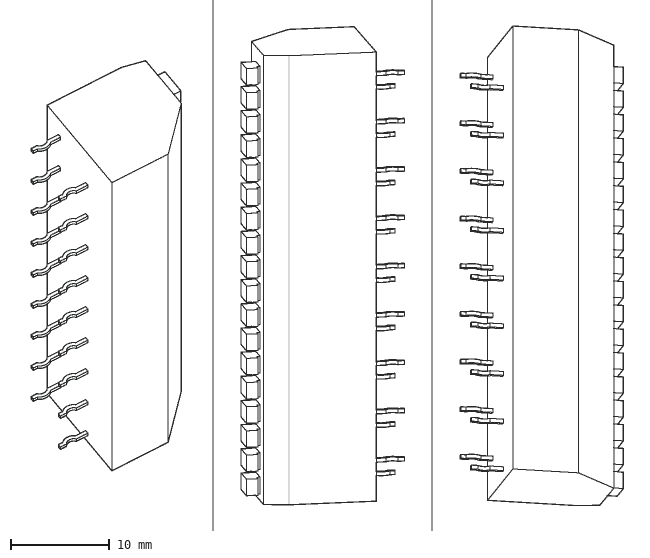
import cadquery as cq
import math

HEIGHT = 46.5
WIDTH = 12.0
DEPTH = 11.5
PIN_LENGTH = 3.3
FRONT_Y = PIN_LENGTH
BACK_Y = FRONT_Y + DEPTH
SLANT_X = 0.6
SLANT_Y = 2.5
BEVEL_X = 4.8
BEVEL_Y = 4.7

POLES = 18
END_WALL = 1.5
PITCH = (HEIGHT - END_WALL) / POLES

LEVER_LEFT = 1.8
LEVER_WIDTH = 2.98
LEVER_RISE = 1.55
LEVER_HEIGHT = 1.7
LEVER_LIFT = 0.33
HOOK_OVERHANG = 0.65
HOOK_GAP = 0.33

PIN_THICKNESS = 0.4
LEFT_PIN_X = 2.32
PIN_COLUMN_SPACING = 5.0
RIGHT_PIN_X = LEFT_PIN_X + PIN_COLUMN_SPACING
BEND_DISTANCE = 2.0
BEND_RISE = 0.3
BEND_HALF_CHORD = 0.6


def make_housing():
    outline = [
        (0, FRONT_Y),
        (WIDTH, FRONT_Y),
        (WIDTH, BACK_Y - BEVEL_Y),
        (WIDTH - BEVEL_X, BACK_Y),
        (SLANT_X, BACK_Y),
        (0, BACK_Y - SLANT_Y),
    ]
    return cq.Workplane("XY").polyline(outline).close().extrude(HEIGHT)


def make_lever(center_z):
    right = LEVER_LEFT + LEVER_WIDTH
    neck_left = LEVER_LEFT + HOOK_OVERHANG
    outline = [
        (neck_left, BACK_Y),
        (right, BACK_Y),
        (right, BACK_Y + LEVER_RISE),
        (LEVER_LEFT, BACK_Y + LEVER_RISE),
        (LEVER_LEFT, BACK_Y + HOOK_GAP),
        (neck_left, BACK_Y + HOOK_GAP),
    ]
    base = cq.Workplane("XY").workplane(offset=center_z - LEVER_HEIGHT / 2)
    return base.polyline(outline).close().extrude(LEVER_HEIGHT)


def make_pin(center_x, center_z, side):
    """Pin whose bend arches toward +X (side = 1) or -X (side = -1)."""
    hollow_x = center_x - side * PIN_THICKNESS / 2
    bulge_x = center_x + side * PIN_THICKNESS / 2
    rise = side * BEND_RISE
    bend_y = FRONT_Y - BEND_DISTANCE

    inner_radius = (BEND_HALF_CHORD**2 + BEND_RISE**2) / (2 * BEND_RISE)
    outer_radius = inner_radius + PIN_THICKNESS
    outer_half_chord = math.sqrt(outer_radius**2 - (outer_radius - BEND_RISE) ** 2)

    return (
        cq.Workplane("XY")
        .workplane(offset=center_z - PIN_THICKNESS / 2)
        .moveTo(hollow_x, FRONT_Y)
        .lineTo(hollow_x, bend_y + BEND_HALF_CHORD)
        .threePointArc((hollow_x + rise, bend_y), (hollow_x, bend_y - BEND_HALF_CHORD))
        .lineTo(hollow_x, 0)
        .lineTo(bulge_x, 0)
        .lineTo(bulge_x, bend_y - outer_half_chord)
        .threePointArc((bulge_x + rise, bend_y), (bulge_x, bend_y + outer_half_chord))
        .lineTo(bulge_x, FRONT_Y)
        .close()
        .extrude(PIN_THICKNESS)
    )


result = make_housing()
for pole in range(POLES):
    pole_z = (pole + 0.5) * PITCH
    result = result.union(make_lever(pole_z + LEVER_LIFT))
    if pole % 2 == 0:
        pin = make_pin(RIGHT_PIN_X, pole_z, -1)
    else:
        pin = make_pin(LEFT_PIN_X, pole_z, 1)
    result = result.union(pin)